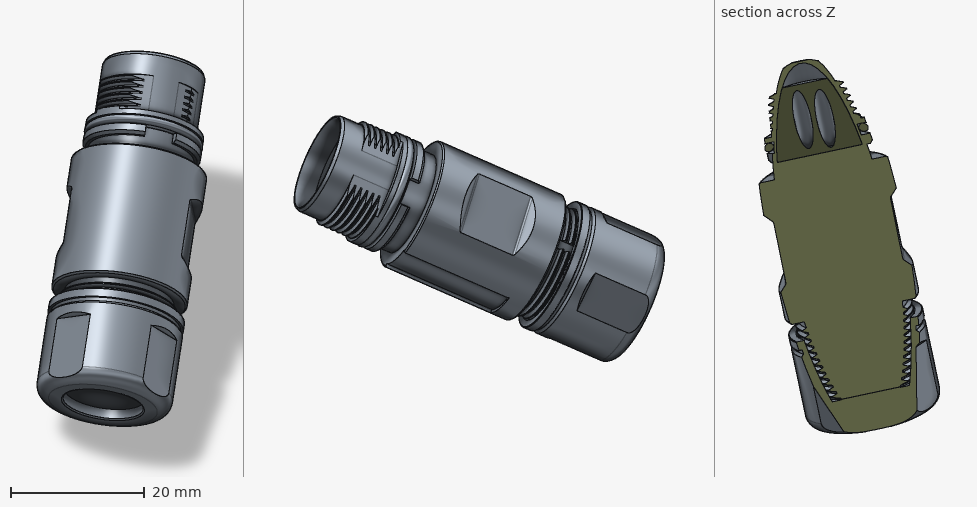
import cadquery as cq
import math


PITCH = 16.4
YAW = 12.0
CABLE_END_CENTRE = (4.35, -25.15, -6.5)

NUT_RADIUS = 20.5 / 2
NUT_LENGTH = 14.75
NUT_END_FILLET = 2.0
NUT_GROOVE_RADIUS = 19.7 / 2
NUT_GROOVE_START = 12.45
NUT_GROOVE_END = 13.4
NUT_LIP_CHAMFER = 0.1
NUT_OPENING_RADIUS = 12.1 / 2
NUT_OPENING_CHAMFER = 0.2
NUT_OPENING_DEPTH = 1.7
NUT_FLOOR = 3.6
NUT_BORE_RADIUS = 18.2 / 2
NUT_FLAT_DISTANCE = 9.75
NUT_FLAT_END = 10.45
NUT_FLAT_ANGLES = (35, 125, 215, 305)

SLEEVE_RADIUS = NUT_RADIUS
SLEEVE_START = 17.25
SLEEVE_END = 38.15
SLEEVE_REAR_CHAMFER = 0.3
SLEEVE_FRONT_CHAMFER = 0.2
SLEEVE_FLAT_DISTANCE = 8.95
SLEEVE_FLAT_START = 23.2
SLEEVE_FLAT_END = 32.2
SLEEVE_FLAT_FILLET = 0.45
SLEEVE_FLAT_ANGLES = (2, 182)
LABEL_EDGES = (249.5, 290.5)
LABEL_START = 20.4
LABEL_DEPTH = 0.5

THREAD_PITCH = 1.0
THREAD_CREST_WIDTH = 0.15
THREAD_ROOT_WIDTH = 0.2
REAR_THREAD_CREST = 8.9
REAR_THREAD_ROOT = 8.25
REAR_THREAD_START = NUT_OPENING_DEPTH + NUT_FLOOR
REAR_SLOT_ANGLE = 182
REAR_SLOT_WIDTH = 1.4
REAR_SLOT_FLOOR = 8.15
FRONT_THREAD_CREST = 8.4
FRONT_THREAD_ROOT = 7.9
FRONT_THREAD_TURNS = 6

BARREL_RADIUS = 15.5 / 2
BARREL_END = 54.0
RIM_CHAMFER_DEPTH = 0.2
RIM_CHAMFER_LENGTH = 0.5
SOCKET_RADIUS = 7.3
NECK_RADIUS = 16.0 / 2
COLLAR_RADIUS = 8.9
LUG_START = 40.35
LUG_END = 41.85
LUG_CHAMFER = 0.45
RING_SECTION = 1.25
RING_OUTER_RADIUS = 8.95
FLANGE_START = 43.45
FLANGE_END = 44.65
THREAD_GAP_START = 44.2
FRONT_THREAD_START = 44.1
THREAD_GAP_EDGES = ((-9, 20), (54, 84), (172, 202))
LUG_GAP_EDGES = ((52, 84), (182, 210))

INSERT_START = 40.5
INSERT_END = 50.8
CONTACT_DIAMETER = 2.5
CONTACT_CIRCLE_RADIUS = 5.2
CONTACT_ANGLES = (254, 291)


def turned(points):
    """Solid of revolution about Y from (radius, station) points."""
    return cq.Workplane("XY").polyline(points).close().revolve(360, (0, 0), (0, 1))


def cylinder(radius, start, end):
    return turned([(0, start), (radius, start), (radius, end), (0, end)])


def turned_to(body, angle):
    """Copy of a body turned about the connector axis, from +X towards +Z."""
    return body.rotate((0, 0, 0), (0, 1, 0), -angle)


def radial_block(angle, inner, outer, width, start, end):
    """Box reaching from `inner` to `outer` along the radial direction at `angle`."""
    block = cq.Workplane("XY").box(outer - inner, end - start, width)
    block = block.translate(((inner + outer) / 2, (start + end) / 2, 0))
    return turned_to(block, angle)


def threaded_rod(root, crest, start, turns):
    """Ring-shaped thread ridges on a solid core."""
    flank = (THREAD_PITCH - THREAD_ROOT_WIDTH - THREAD_CREST_WIDTH) / 2
    points = [(0, start), (root, start)]
    for turn in range(turns):
        foot = start + turn * THREAD_PITCH
        points += [
            (root, foot + THREAD_ROOT_WIDTH),
            (crest, foot + THREAD_ROOT_WIDTH + flank),
            (crest, foot + THREAD_PITCH - flank),
            (root, foot + THREAD_PITCH),
        ]
    points.append((0, start + turns * THREAD_PITCH))
    return turned(points)


def sector(edges, radius, start, end):
    """Triangular prism from the axis outwards between two angles, taller than `radius`."""
    reach = 2 * radius
    corners = [(reach * math.cos(math.radians(a)), reach * math.sin(math.radians(a))) for a in edges]
    return cq.Workplane("XZ", origin=(0, start, 0)).polyline([(0, 0)] + corners).close().extrude(start - end)


def gap_cutters(gap_edges, radius, start, end):
    return [sector(edges, radius, start, end) for edges in gap_edges]


def tangent_cutters(gap_edges, core_radius, start, end):
    """Blocks whose inner faces touch the core at both edges of each gap."""
    reach = 3.4
    width = 9.0
    blocks = []
    for edges in gap_edges:
        for angle in edges:
            blocks.append(radial_block(angle, core_radius, core_radius + reach, width, start, end))
    return blocks


def cut_all(body, blocks):
    for block in blocks:
        body = body.cut(block)
    return body


def make_sleeve():
    rear = SLEEVE_REAR_CHAMFER
    front = SLEEVE_FRONT_CHAMFER
    sleeve = turned([
        (0, SLEEVE_START),
        (SLEEVE_RADIUS - rear, SLEEVE_START),
        (SLEEVE_RADIUS, SLEEVE_START + rear),
        (SLEEVE_RADIUS, SLEEVE_END - front),
        (SLEEVE_RADIUS - front, SLEEVE_END),
        (0, SLEEVE_END),
    ])
    rise = 2.25
    flat = (
        cq.Workplane("XY")
        .moveTo(SLEEVE_FLAT_DISTANCE, SLEEVE_FLAT_START)
        .lineTo(SLEEVE_FLAT_DISTANCE, SLEEVE_FLAT_END)
        .lineTo(SLEEVE_FLAT_DISTANCE + rise, SLEEVE_FLAT_END + rise)
        .lineTo(SLEEVE_FLAT_DISTANCE + rise, SLEEVE_FLAT_START - rise)
        .close()
        .extrude(SLEEVE_RADIUS, both=True)
        .edges("|Z and <X")
        .fillet(SLEEVE_FLAT_FILLET)
    )
    sleeve = cut_all(sleeve, [turned_to(flat, angle) for angle in SLEEVE_FLAT_ANGLES])
    panel = sector(LABEL_EDGES, SLEEVE_RADIUS, LABEL_START, SLEEVE_END)
    return sleeve.cut(panel.cut(cylinder(SLEEVE_RADIUS - LABEL_DEPTH, LABEL_START, SLEEVE_END)))


def make_rear_thread():
    turns = math.floor((SLEEVE_START - REAR_THREAD_START) / THREAD_PITCH)
    top = REAR_THREAD_START + turns * THREAD_PITCH
    rod = threaded_rod(REAR_THREAD_ROOT, REAR_THREAD_CREST, REAR_THREAD_START, turns)
    rod = rod.union(cylinder(REAR_THREAD_ROOT, top, SLEEVE_START))
    slot_top = REAR_THREAD_CREST + 0.55
    slot = radial_block(
        REAR_SLOT_ANGLE, REAR_SLOT_FLOOR, slot_top, REAR_SLOT_WIDTH, REAR_THREAD_START, SLEEVE_START
    )
    return rod.cut(slot)


def make_flange_and_front_thread():
    """Flange and thread, both interrupted by the lengthwise gaps down to the barrel."""
    start = FRONT_THREAD_START
    end = start + FRONT_THREAD_TURNS * THREAD_PITCH
    ridges = threaded_rod(FRONT_THREAD_ROOT, FRONT_THREAD_CREST, start, FRONT_THREAD_TURNS)
    ridges = ridges.union(cylinder(COLLAR_RADIUS, FLANGE_START, FLANGE_END))
    ridges = cut_all(ridges, tangent_cutters(THREAD_GAP_EDGES, BARREL_RADIUS, THREAD_GAP_START, end))
    return cut_all(ridges, gap_cutters(THREAD_GAP_EDGES, COLLAR_RADIUS, THREAD_GAP_START, end))


def make_lugs():
    lugs = turned([
        (0, LUG_START),
        (COLLAR_RADIUS - LUG_CHAMFER, LUG_START),
        (COLLAR_RADIUS, LUG_START + LUG_CHAMFER),
        (COLLAR_RADIUS, LUG_END),
        (0, LUG_END),
    ])
    return cut_all(lugs, gap_cutters(LUG_GAP_EDGES, COLLAR_RADIUS, LUG_START, LUG_END))


def make_housing():
    barrel = turned([
        (0, SLEEVE_END),
        (BARREL_RADIUS, SLEEVE_END),
        (BARREL_RADIUS, BARREL_END - RIM_CHAMFER_LENGTH),
        (BARREL_RADIUS - RIM_CHAMFER_DEPTH, BARREL_END),
        (0, BARREL_END),
    ])
    housing = make_rear_thread().union(make_sleeve())
    housing = housing.union(barrel)
    housing = housing.union(cylinder(NECK_RADIUS, SLEEVE_END, FLANGE_START))
    housing = housing.union(make_lugs())
    housing = housing.union(make_flange_and_front_thread())
    ring_floor = RING_OUTER_RADIUS - RING_SECTION
    ring_groove = cylinder(COLLAR_RADIUS + 0.55, LUG_END, FLANGE_START).cut(
        cylinder(ring_floor, LUG_END, FLANGE_START)
    )
    return housing.cut(ring_groove).cut(cylinder(SOCKET_RADIUS, INSERT_START, BARREL_END))


def make_seal_ring():
    centre_radius = RING_OUTER_RADIUS - RING_SECTION / 2
    return (
        cq.Workplane("XY")
        .center(centre_radius, FLANGE_START - RING_SECTION / 2)
        .circle(RING_SECTION / 2)
        .revolve(360, (-centre_radius, 0), (-centre_radius, 1))
    )


def make_insert():
    insert = cylinder(SOCKET_RADIUS, INSERT_START, INSERT_END)
    hole = cylinder(CONTACT_DIAMETER / 2, INSERT_START, INSERT_END).translate((CONTACT_CIRCLE_RADIUS, 0, 0))
    return cut_all(insert, [turned_to(hole, angle) for angle in CONTACT_ANGLES])


def make_nut():
    groove_depth = NUT_RADIUS - NUT_GROOVE_RADIUS
    lip = NUT_LIP_CHAMFER
    below_end = -0.55
    body = turned([
        (0, 0),
        (NUT_RADIUS, 0),
        (NUT_RADIUS, NUT_GROOVE_START),
        (NUT_GROOVE_RADIUS, NUT_GROOVE_START + groove_depth),
        (NUT_GROOVE_RADIUS, NUT_GROOVE_END),
        (NUT_RADIUS, NUT_GROOVE_END),
        (NUT_RADIUS, NUT_LENGTH - lip),
        (NUT_RADIUS - lip, NUT_LENGTH),
        (0, NUT_LENGTH),
    ])
    body = body.faces("<Y").edges().fillet(NUT_END_FILLET)
    rise = 1.1
    flat = (
        cq.Workplane("XY")
        .moveTo(NUT_FLAT_DISTANCE, below_end)
        .lineTo(NUT_FLAT_DISTANCE, NUT_FLAT_END)
        .lineTo(NUT_FLAT_DISTANCE + rise, NUT_FLAT_END + rise)
        .lineTo(NUT_FLAT_DISTANCE + rise, below_end)
        .close()
        .extrude(NUT_RADIUS / 2, both=True)
    )
    body = cut_all(body, [turned_to(flat, angle) for angle in NUT_FLAT_ANGLES])
    mouth = NUT_OPENING_RADIUS + NUT_OPENING_CHAMFER
    opening = turned([
        (0, 0),
        (mouth, 0),
        (NUT_OPENING_RADIUS, NUT_OPENING_CHAMFER),
        (NUT_OPENING_RADIUS, NUT_OPENING_DEPTH),
        (0, NUT_OPENING_DEPTH),
    ])
    bore = cylinder(NUT_BORE_RADIUS, NUT_OPENING_DEPTH + NUT_FLOOR, NUT_LENGTH)
    return body.cut(opening).cut(bore)


def place(body):
    body = body.rotate((0, 0, 0), (1, 0, 0), PITCH)
    body = body.rotate((0, 0, 0), (0, 0, 1), YAW)
    return body.translate(CABLE_END_CENTRE)


housing = place(make_housing())
seal_ring = place(make_seal_ring())
insert = place(make_insert())
gland_nut = place(make_nut())

result = cq.Compound.makeCompound([housing.val(), seal_ring.val(), insert.val(), gland_nut.val()])